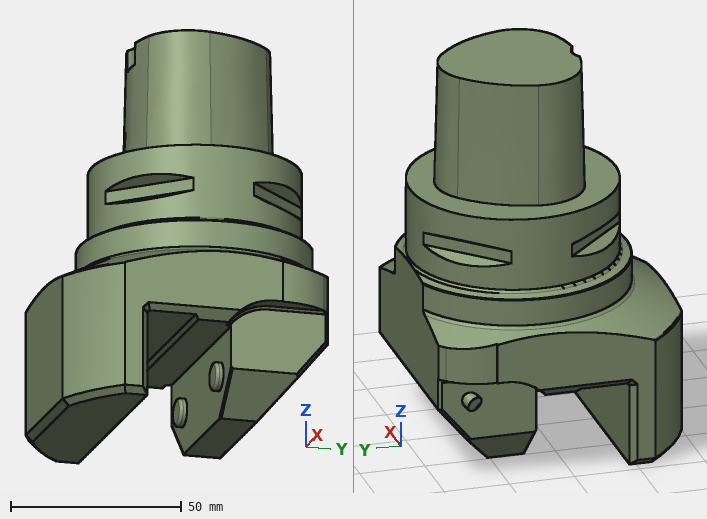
import cadquery as cq
import math

TOTAL_HEIGHT = 118.0
BODY_HALF_WIDTH = 38.0
BODY_REAR = 31.9
BODY_FRONT = -46.1
BODY_RADIUS = 50.0
FOOT_CHAMFER = 2.0

REAR_BEVEL_X = 30.5
REAR_ARC_START = (32.3, 30.1)
REAR_ARC_END = (37.6, 15.9)
REAR_ARC_RADIUS = 21.2

CONE_BOTTOM_Z = 39.9
CONE_RIM_BEVEL = 0.4
CONE_TOP_RADIUS = 35.9
CONE_TOP_Z = 46.6
RING_RADIUS = 35.0
RING_BOTTOM_Z = 47.7
RING_FILLET = 1.3
RING_TOP_Z = 55.7
RING_BEVEL = 0.2
COLLAR_RADIUS = 63.0 / 2
COLLAR_TOP_Z = 80.0
COLLAR_BLEND = 0.8
COLLAR_FILLET = 1.0
COLLAR_BLEND_Z = 56.8

GROOVE_COUNT = 4
GROOVE_Z = 68.0
GROOVE_FLOOR_HEIGHT = 3.8
GROOVE_MOUTH_HEIGHT = 7.7
GROOVE_DEPTH = 3.7

LOBE_CENTRE_RADIUS = 8.4
LOBE_RADIUS = 14.2
SHANK_FLAT_DISTANCE = 19.6
SHANK_TAPER_RATIO = 1 / 20
SHANK_NOTCH_RADIUS = 12.5 / 2
SHANK_NOTCH_BACK_Y = -18.0
SHANK_NOTCH_FLOOR_Z = 111.4

LEG_INNER_Y = -25.1
SLOT_ROOF_Z = 26.1
PAD_FRONT_Y = -9.7
PAD_Z = 24.9
SLOT_BEVEL = 1.9
SLOT_CORNER_BEVEL = 0.7

ARCH_START_Y = 0.4
ARCH_END_Y = 13.5
JAW_ROOF_Z = 31.7
JAW_HALF_WIDTH = 31.3
JAW_FRONT_Y = 2.0
JAW_BOTTOM_REAR_Y = 13.5
JAW_SLANT_TOP_Z = 22.1
JAW_REAR_BEVEL = 1.0
JAW_FOOT_BEVEL = 11.9
JAW_FOOT_EDGE_BEVEL = 0.5
JAW_ROOT_BEVEL = 0.8

CLAMP_PIN_DIAMETER = 8.5
CLAMP_PIN_X = 19.0
CLAMP_PIN_Z = 12.9
CLAMP_PIN_TIP_Y = -0.1
CLAMP_PIN_ROUNDING = 1.0
SIDE_PIN_DIAMETER = 5.0
SIDE_PIN_TIP = (-32.8, 21.4, 23.6)
SIDE_PIN_INWARD = (1.3, 0.6, 0.5)
SIDE_PIN_LENGTH = 5.9

EDGE_MARGIN = 0.1


def body_outline():
    """Plan outline of the body, without the front corner rounding."""
    arc_x, arc_y = REAR_ARC_START
    end_x, end_y = REAR_ARC_END
    half = (
        cq.Workplane("XY")
        .moveTo(0, BODY_FRONT)
        .lineTo(BODY_HALF_WIDTH, BODY_FRONT)
        .lineTo(BODY_HALF_WIDTH, end_y)
        .lineTo(end_x, end_y)
        .radiusArc((arc_x, arc_y), -REAR_ARC_RADIUS)
        .lineTo(REAR_BEVEL_X, BODY_REAR)
        .lineTo(0, BODY_REAR)
    )
    return half.mirrorY().extrude(COLLAR_TOP_Z)


def turned_form():
    """Cylinder, cone, ring and collar turned about the shank axis."""
    return (
        cq.Workplane("XZ")
        .lineTo(BODY_RADIUS, 0)
        .lineTo(BODY_RADIUS, CONE_BOTTOM_Z - CONE_RIM_BEVEL)
        .lineTo(BODY_RADIUS - CONE_RIM_BEVEL, CONE_BOTTOM_Z)
        .lineTo(CONE_TOP_RADIUS, CONE_TOP_Z)
        .radiusArc((RING_RADIUS, RING_BOTTOM_Z), RING_FILLET)
        .lineTo(RING_RADIUS, RING_TOP_Z)
        .lineTo(RING_RADIUS - RING_BEVEL, RING_TOP_Z + RING_BEVEL)
        .lineTo(COLLAR_RADIUS + COLLAR_BLEND, COLLAR_BLEND_Z)
        .radiusArc((COLLAR_RADIUS, COLLAR_BLEND_Z + COLLAR_BLEND), COLLAR_FILLET)
        .lineTo(COLLAR_RADIUS, COLLAR_TOP_Z)
        .lineTo(0, COLLAR_TOP_Z)
        .close()
        .revolve(360, (0, 0, 0), (0, 1, 0))
    )


def gripper_grooves():
    """Straight trapezoidal grooves that cross the collar at 45 degrees to X and Y."""
    floor = GROOVE_FLOOR_HEIGHT / 2
    mouth = GROOVE_MOUTH_HEIGHT / 2
    groove = (
        cq.Workplane("XZ")
        .polyline([
            (COLLAR_RADIUS - GROOVE_DEPTH, GROOVE_Z - floor),
            (COLLAR_RADIUS, GROOVE_Z - mouth),
            (COLLAR_RADIUS, GROOVE_Z + mouth),
            (COLLAR_RADIUS - GROOVE_DEPTH, GROOVE_Z + floor),
        ])
        .close()
        .extrude(COLLAR_RADIUS, both=True)
    )
    pitch = 360 / GROOVE_COUNT
    grooves = cq.Workplane("XY")
    for index in range(GROOVE_COUNT):
        grooves = grooves.add(groove.rotate((0, 0, 0), (0, 0, 1), pitch * (index + 0.5)))
    return grooves.combine()


def polar(radius, degrees):
    angle = math.radians(degrees)
    return (radius * math.cos(angle), radius * math.sin(angle))


def tapered_shank():
    """Three lobes joined by shallow tangent arcs, widening from the top to the collar."""
    lobe_x, lobe_y = polar(LOBE_CENTRE_RADIUS, -30)
    offset = SHANK_FLAT_DISTANCE + lobe_y
    reach = offset - LOBE_RADIUS
    side_radius = (lobe_x**2 + offset**2 - LOBE_RADIUS**2) / (2 * reach)
    side_centre_y = side_radius - SHANK_FLAT_DISTANCE
    blend = math.atan2(lobe_y - side_centre_y, lobe_x)
    joint_x = lobe_x + LOBE_RADIUS * math.cos(blend)
    joint_y = lobe_y + LOBE_RADIUS * math.sin(blend)
    joint_radius = math.hypot(joint_x, joint_y)
    joint_offset = math.degrees(math.atan2(joint_y, joint_x)) + 90

    height = TOTAL_HEIGHT - COLLAR_TOP_Z
    taper_angle = math.degrees(math.atan(SHANK_TAPER_RATIO / 2))
    outline = cq.Workplane("XY", origin=(0, 0, TOTAL_HEIGHT))
    outline = outline.moveTo(*polar(joint_radius, -90 - joint_offset))
    for side_angle in (-90, 30, 150):
        outline = outline.threePointArc(
            polar(SHANK_FLAT_DISTANCE, side_angle),
            polar(joint_radius, side_angle + joint_offset),
        )
        outline = outline.threePointArc(
            polar(LOBE_CENTRE_RADIUS + LOBE_RADIUS, side_angle + 60),
            polar(joint_radius, side_angle + 120 - joint_offset),
        )
    shank = outline.close().extrude(-height, taper=-taper_angle)
    notch = (
        cq.Workplane("XY", origin=(0, 0, SHANK_NOTCH_FLOOR_Z))
        .center(0, SHANK_NOTCH_BACK_Y - SHANK_NOTCH_RADIUS)
        .circle(SHANK_NOTCH_RADIUS)
        .extrude(TOTAL_HEIGHT - SHANK_NOTCH_FLOOR_Z)
    )
    return shank.cut(notch)


def underside_clearance():
    """Slot behind the leg and the arched space around the jaw, through the full width."""
    arch_rise = JAW_ROOF_Z - PAD_Z
    arch_run = ARCH_END_Y - ARCH_START_Y
    arch_radius = (arch_run**2 + arch_rise**2) / (2 * arch_rise)
    step = SLOT_ROOF_Z - PAD_Z
    return (
        cq.Workplane("YZ")
        .moveTo(LEG_INNER_Y, 0)
        .lineTo(LEG_INNER_Y, SLOT_ROOF_Z - SLOT_CORNER_BEVEL)
        .lineTo(LEG_INNER_Y + SLOT_CORNER_BEVEL, SLOT_ROOF_Z)
        .lineTo(PAD_FRONT_Y - step / 2, SLOT_ROOF_Z)
        .lineTo(PAD_FRONT_Y + step / 2, PAD_Z)
        .lineTo(ARCH_START_Y, PAD_Z)
        .radiusArc((ARCH_END_Y, JAW_ROOF_Z), arch_radius)
        .lineTo(BODY_REAR, JAW_ROOF_Z)
        .lineTo(BODY_REAR, 0)
        .close()
        .extrude(BODY_HALF_WIDTH, both=True)
    )


def slot_bevel(side):
    """45 degree bevel where the slot breaks through one side face."""
    outer_front = LEG_INNER_Y - SLOT_BEVEL
    outer_rear = JAW_FRONT_Y + SLOT_BEVEL
    outer_top = SLOT_ROOF_Z + SLOT_BEVEL
    outer_corner = SLOT_CORNER_BEVEL + SLOT_BEVEL * (2 - math.sqrt(2))
    depth = outer_top - PAD_Z
    bevel = (
        cq.Workplane("YZ", origin=(BODY_HALF_WIDTH, 0, 0))
        .polyline([
            (outer_front, -outer_top),
            (outer_rear, -outer_top),
            (outer_rear, outer_top),
            (outer_front + outer_corner, outer_top),
            (outer_front, outer_top - outer_corner),
        ])
        .close()
        .extrude(-depth, taper=45)
    )
    return bevel if side > 0 else bevel.mirror("YZ")


def clamping_jaw():
    """Jaw below the rear of the body, slanted at the back and bevelled at the sides."""
    jaw = (
        cq.Workplane("YZ")
        .polyline([
            (JAW_FRONT_Y, 0),
            (JAW_BOTTOM_REAR_Y, 0),
            (BODY_REAR, JAW_SLANT_TOP_Z),
            (BODY_REAR, JAW_ROOF_Z),
            (ARCH_START_Y, JAW_ROOF_Z),
            (ARCH_START_Y, PAD_Z),
            (JAW_FRONT_Y, PAD_Z),
        ])
        .close()
        .extrude(JAW_HALF_WIDTH, both=True)
    )
    rear_side_edges = cq.selectors.BoxSelector(
        (-JAW_HALF_WIDTH - EDGE_MARGIN, JAW_BOTTOM_REAR_Y, EDGE_MARGIN),
        (JAW_HALF_WIDTH + EDGE_MARGIN, BODY_REAR + EDGE_MARGIN, JAW_ROOF_Z - EDGE_MARGIN),
    )
    jaw = jaw.faces("|X").edges(rear_side_edges).chamfer(JAW_REAR_BEVEL)
    foot_half_width = JAW_HALF_WIDTH - JAW_FOOT_BEVEL
    section = (
        cq.Workplane("XZ")
        .polyline([
            (-foot_half_width, 0),
            (foot_half_width, 0),
            (JAW_HALF_WIDTH, JAW_FOOT_BEVEL),
            (JAW_HALF_WIDTH, JAW_ROOF_Z),
            (-JAW_HALF_WIDTH, JAW_ROOF_Z),
            (-JAW_HALF_WIDTH, JAW_FOOT_BEVEL),
        ])
        .close()
        .extrude(-BODY_REAR)
    )
    jaw = jaw.intersect(section)
    foot_edges = cq.selectors.BoxSelector(
        (-JAW_HALF_WIDTH, JAW_FRONT_Y - EDGE_MARGIN, EDGE_MARGIN),
        (JAW_HALF_WIDTH, JAW_FRONT_Y + EDGE_MARGIN, JAW_FOOT_BEVEL - EDGE_MARGIN),
    )
    return jaw.edges(foot_edges).chamfer(JAW_FOOT_EDGE_BEVEL)


def clamp_pins():
    """Round pins that stand out of the jaw towards the leg."""
    return (
        cq.Workplane("XZ", origin=(0, CLAMP_PIN_TIP_Y, 0))
        .pushPoints([(-CLAMP_PIN_X, CLAMP_PIN_Z), (CLAMP_PIN_X, CLAMP_PIN_Z)])
        .circle(CLAMP_PIN_DIAMETER / 2)
        .extrude(-2 * (JAW_FRONT_Y - CLAMP_PIN_TIP_Y))
        .faces("<Y")
        .edges()
        .fillet(CLAMP_PIN_ROUNDING)
    )


def side_pin():
    """Inclined pin that stands out of the left side of the jaw."""
    plane = cq.Plane(origin=SIDE_PIN_TIP, normal=SIDE_PIN_INWARD)
    return cq.Workplane(plane).circle(SIDE_PIN_DIAMETER / 2).extrude(SIDE_PIN_LENGTH)


body = body_outline().intersect(turned_form())
body = body.faces("<Z").edges().chamfer(FOOT_CHAMFER)
body = body.cut(gripper_grooves())
body = body.cut(underside_clearance())
for side in (-1, 1):
    body = body.cut(slot_bevel(side))
body = body.union(clamping_jaw())
for side in (-1, 1):
    edge_x = side * JAW_HALF_WIDTH
    root_edges = cq.selectors.BoxSelector(
        (edge_x - EDGE_MARGIN, ARCH_START_Y, PAD_Z + EDGE_MARGIN),
        (edge_x + EDGE_MARGIN, BODY_REAR - JAW_REAR_BEVEL, JAW_ROOF_Z + EDGE_MARGIN),
    )
    body = body.edges(root_edges).chamfer(JAW_ROOT_BEVEL)
body = body.union(clamp_pins())
body = body.union(side_pin())
result = body.union(tapered_shank())